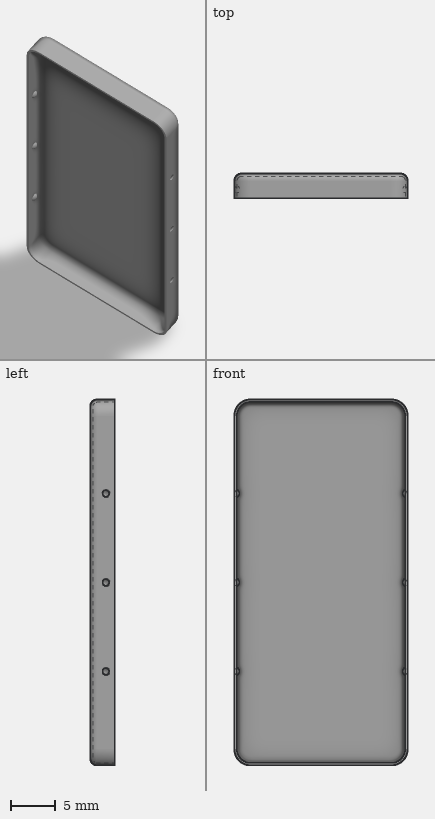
import cadquery as cq
import math

width = 19.5
depth = 2.8
height = 41.1
wall = 0.3
corner_radius = 1.85
floor_edge_radius = 0.82

dent_radius = 0.35
dent_depth = 0.25
bump_radius = 0.45
bump_height = 0.3
dent_pitch = 10.0
dent_setback = 1.03

rim_y = -depth / 2


def rounded_block(inset):
    """Tray envelope moved inward by inset, with its rim left at the open side."""
    block_depth = depth - inset
    return (
        cq.Workplane("XY")
        .box(width - 2 * inset, block_depth, height - 2 * inset)
        .translate((0, rim_y + block_depth / 2, 0))
        .edges("|Y")
        .fillet(corner_radius - inset)
        .faces(">Y")
        .edges()
        .fillet(floor_edge_radius - inset)
    )


def inward_cap(base_x, side, z, base_radius, cap_height):
    """Spherical cap standing on the wall plane at base_x and pointing into the tray."""
    ball_radius = (base_radius**2 + cap_height**2) / (2 * cap_height)
    half_angle = math.asin(base_radius / ball_radius) / 2
    ball_center = cap_height - ball_radius
    arc_middle = (
        -side * (ball_center + ball_radius * math.cos(half_angle)),
        ball_radius * math.sin(half_angle),
    )
    return (
        cq.Workplane("XY", origin=(side * base_x, rim_y + dent_setback, z))
        .lineTo(0, base_radius)
        .threePointArc(arc_middle, (-side * cap_height, 0))
        .close()
        .revolve(360, (0, 0), (1, 0))
    )


outer = rounded_block(0)
cavity = rounded_block(wall)
result = outer.cut(cavity)

for side in (-1, 1):
    for row in (-1, 0, 1):
        z = row * dent_pitch
        bump = inward_cap(width / 2 - wall, side, z, bump_radius, bump_height)
        dent = inward_cap(width / 2, side, z, dent_radius, dent_depth)
        result = result.union(bump).cut(dent)